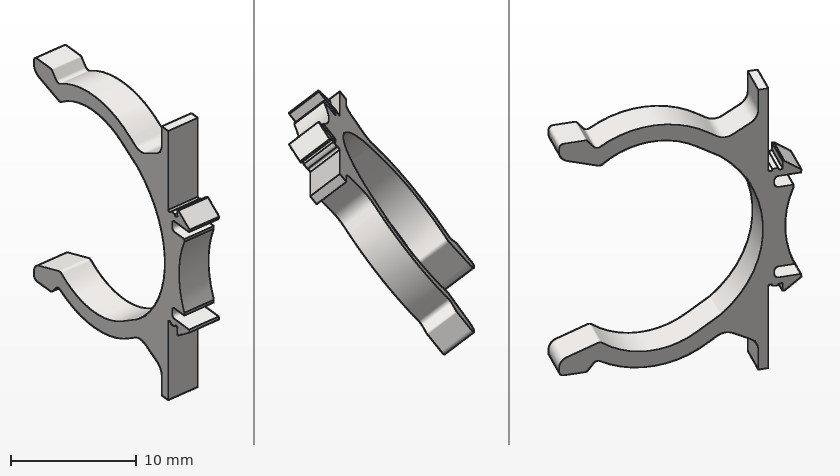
import cadquery as cq
import math

width = 3.0
half_height = 13.0
plate_thickness = 0.83
tip_x = -17.35
barb_tip_x = 2.75

arm_center_x = -9.62
arm_center_z = 2.95
arm_inner_radius = 6.75
arm_thickness = 1.48
arm_outer_radius = arm_inner_radius + arm_thickness
arm_inner_end_angle = 33.0
arm_outer_end_angle = 34.5
nose_inner_angle = -39.5
nose_outer_angle = -34.0

seat_radius = 9.45
seat_x = -0.45
seat_center_x = seat_x - seat_radius
seat_end_angle = 39.0

tip_top_z = 10.76
tip_top_end_x = -15.05
tip_bottom_z = 9.33
tip_top_radius = 0.42
tip_bottom_radius = 1.0
shoulder_radius = 0.2
nose_radius = 0.4

web_plate_z = 10.4
valley_x = -3.61
valley_z = 8.87
web_plate_radius = 1.3
valley_radius = 1.3

barb_x = 1.17
neck_edge_z = 5.38
neck_dip_z = 5.28
neck_crest_z = 5.45
neck_crest_edge_z = 5.4
neck_dip_inset = 0.18
neck_crest_inset = 0.35
barb_top_z = 6.03
barb_top_width = 0.15
barb_tip_z = 4.97
barb_base_inset = 0.05

slot_top_z = 4.7
slot_bottom_z = 3.7
slot_floor_x = 0.5
slot_radius = 0.36
pad_edge_x = 2.08
pad_edge_z = 3.43
pad_center_x = 1.4


def on_arc(center_x, center_z, radius, angle):
    """Point on an arc, with the angle in degrees from +Z toward +X."""
    turn = math.radians(angle)
    return (center_x + radius * math.sin(turn), center_z + radius * math.cos(turn))


def arm_point(radius, angle):
    return on_arc(arm_center_x, arm_center_z, radius, angle)


def round_corner(body, corner, radius):
    """Fillet the Y-direction edge that passes through an outline corner."""
    nearest = cq.selectors.NearestToPointSelector((corner[0], 0, corner[1]))
    return body.newObject([body.edges("|Y").edges(nearest).val()]).fillet(radius)


web_corner = (-plate_thickness, web_plate_z)
valley = (valley_x, valley_z)
nose_outer = arm_point(arm_outer_radius, nose_outer_angle)
nose_inner = arm_point(arm_inner_radius, nose_inner_angle)
shoulder = (tip_top_end_x, tip_top_z)
tip_top = (tip_x, tip_top_z)
tip_bottom = (tip_x, tip_bottom_z)
slot_top = (slot_floor_x, slot_top_z)
slot_bottom = (slot_floor_x, slot_bottom_z)


def half_outline():
    """Closed upper half of the clip profile."""
    outline = cq.Workplane("XZ").moveTo(seat_x, 0)
    outline = outline.threePointArc(
        on_arc(seat_center_x, 0, seat_radius, (90 + seat_end_angle) / 2),
        on_arc(seat_center_x, 0, seat_radius, seat_end_angle),
    )
    outline = outline.lineTo(*arm_point(arm_inner_radius, arm_inner_end_angle))
    outline = outline.threePointArc(arm_point(arm_inner_radius, 0), nose_inner)
    outline = outline.lineTo(*tip_bottom).lineTo(*tip_top).lineTo(*shoulder).lineTo(*nose_outer)
    outline = outline.threePointArc(
        arm_point(arm_outer_radius, 0),
        arm_point(arm_outer_radius, arm_outer_end_angle),
    )
    outline = outline.lineTo(*valley).lineTo(*web_corner)
    outline = outline.lineTo(-plate_thickness, half_height).lineTo(0, half_height)

    outline = outline.lineTo(0, neck_edge_z)
    outline = outline.threePointArc((neck_dip_inset, neck_dip_z), (neck_crest_inset, neck_crest_edge_z))
    outline = outline.threePointArc((barb_x / 2, neck_crest_z), (barb_x - neck_crest_inset, neck_crest_edge_z))
    outline = outline.threePointArc((barb_x - neck_dip_inset, neck_dip_z), (barb_x, neck_edge_z))

    outline = outline.lineTo(barb_x, barb_top_z).lineTo(barb_x + barb_top_width, barb_top_z)
    outline = outline.lineTo(barb_tip_x, barb_tip_z).lineTo(barb_tip_x - barb_base_inset, slot_top_z)
    outline = outline.lineTo(*slot_top).lineTo(*slot_bottom)
    outline = outline.lineTo(pad_edge_x, slot_bottom_z).lineTo(pad_edge_x, pad_edge_z)
    pad_depth = pad_edge_x - pad_center_x
    pad_radius = (pad_edge_z**2 + pad_depth**2) / (2 * pad_depth)
    pad_half_angle = math.asin(pad_edge_z / pad_radius)
    pad_middle = on_arc(pad_center_x + pad_radius, 0, pad_radius, math.degrees(pad_half_angle) / 2 - 90)
    outline = outline.threePointArc(pad_middle, (pad_center_x, 0))
    return outline.close()


half = half_outline().extrude(width / 2, both=True)
for corner, radius in (
    (web_corner, web_plate_radius),
    (valley, valley_radius),
    (nose_outer, nose_radius),
    (nose_inner, nose_radius),
    (shoulder, shoulder_radius),
    (tip_top, tip_top_radius),
    (tip_bottom, tip_bottom_radius),
    (slot_top, slot_radius),
    (slot_bottom, slot_radius),
):
    half = round_corner(half, corner, radius)

result = half.union(half.mirror("XY"))